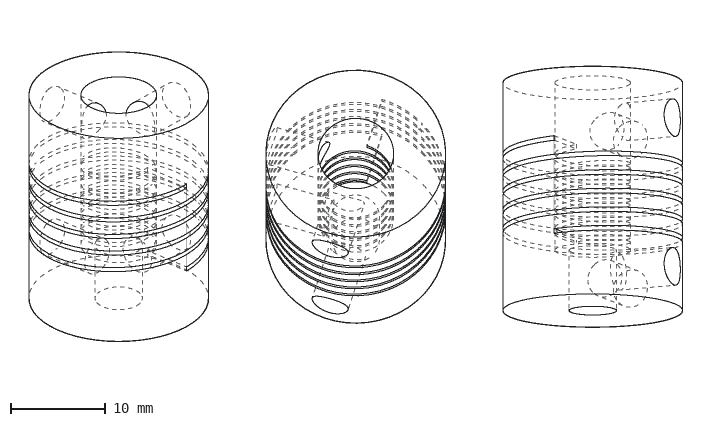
import cadquery as cq

height = 24.5
outer_diameter = 19.0
outer_radius = outer_diameter / 2

upper_bore_diameter = 8.0
lower_bore_diameter = 5.0
bore_step_height = 6.5

screw_hole_diameter = 4.0
screw_hole_depth = 6.5
lower_screw_hole_height = 4.0
upper_screw_hole_height = 20.0
screw_hole_heights = (lower_screw_hole_height, upper_screw_hole_height)

slit_travel = 10.0
slit_turns = 5
slit_pitch = slit_travel / slit_turns
slit_width = 0.5
slit_start_height = 6.95
slit_overlap = 0.25


def make_body():
    """Solid cylinder with the stepped bore along its axis."""
    body = cq.Workplane("XY").circle(outer_radius).extrude(height)
    body = body.faces(">Z").workplane().hole(lower_bore_diameter)
    return body.faces(">Z").workplane().hole(upper_bore_diameter, height - bore_step_height)


def make_screw_hole(hole_height, direction):
    """Flat-bottomed drill shape entering the outer wall along a direction."""
    entry_point = cq.Vector(0, 0, hole_height) - direction * outer_radius
    return cq.Solid.makeCylinder(
        screw_hole_diameter / 2, screw_hole_depth, entry_point, direction
    )


def make_slit():
    """Right-handed helical cutter, running from the bore through the outer wall."""
    inner_radius = upper_bore_diameter / 2 - slit_overlap
    radial_length = outer_radius + slit_overlap - inner_radius
    middle_radius = inner_radius + radial_length / 2
    path = cq.Wire.makeHelix(slit_pitch, slit_travel, middle_radius)
    profile = cq.Workplane("XZ").center(middle_radius, 0).rect(radial_length, slit_width)
    slit = profile.sweep(cq.Workplane(obj=path), isFrenet=True)
    return slit.translate((0, 0, slit_start_height))


result = make_body().cut(make_slit())

inward_from_left = cq.Vector(1, 0, 0)
inward_from_back = cq.Vector(0, -1, 0)
for hole_height in screw_hole_heights:
    for direction in (inward_from_left, inward_from_back):
        result = result.cut(cq.Workplane(obj=make_screw_hole(hole_height, direction)))